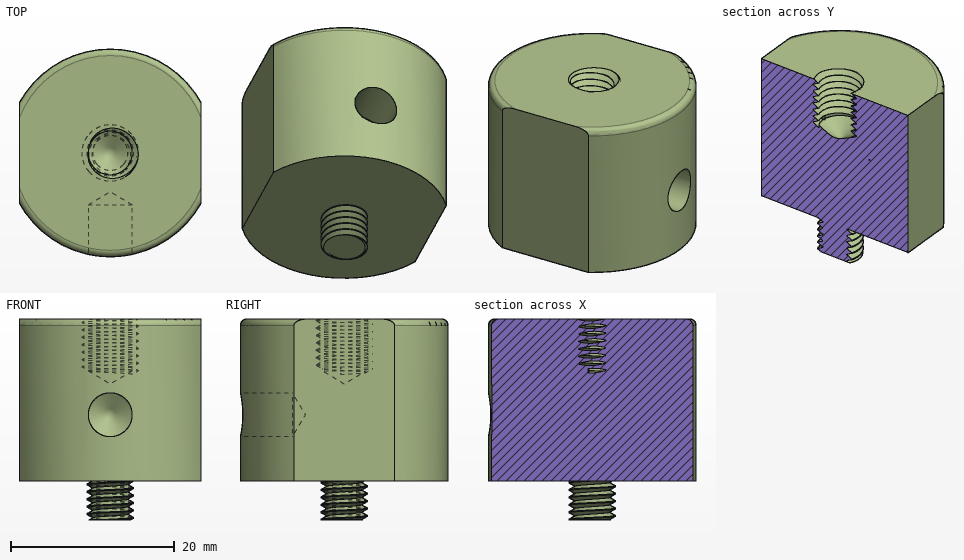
import cadquery as cq
import math

INCH = 25.4

body_diameter = INCH
body_height = 0.78 * INCH
flat_spacing = 7 / 8 * INCH
rim_radius = INCH / 32

pitch = INCH / 28
thread_height = pitch * math.sqrt(3) / 2

stud_diameter = 5.66
stud_length = 3 / 16 * INCH
stud_groove_width = 7 / 8 * pitch
stud_groove_angle = 165
stud_seam_angle = 90

hole_diameter = 5.36
hole_depth = 0.25 * INCH
drill_angle = 118
front_hole_z = 8.1
tapped_groove_width = 0.99 * pitch
tapped_groove_angle = -9

overlap = 0.1
groove_overlap = 0.005


def make_body():
    body = cq.Workplane("XY").circle(body_diameter / 2).extrude(body_height)
    body = body.faces(">Z").edges().fillet(rim_radius)
    flats = cq.Workplane("XY").rect(flat_spacing, 2 * body_diameter).extrude(body_height)
    return body.intersect(flats)


def make_drill(depth):
    """Drill with its mouth at the origin, pointing along -Z, with a conical tip."""
    radius = hole_diameter / 2
    tip_length = radius / math.tan(math.radians(drill_angle / 2))
    return (
        cq.Workplane("XZ")
        .moveTo(0, overlap)
        .lineTo(radius, overlap)
        .lineTo(radius, -depth)
        .lineTo(0, -depth - tip_length)
        .close()
        .revolve(360, (0, 0, 0), (0, 1, 0))
    )


def make_groove(surface_radius, opening_width, outward, length):
    """Right-hand helical V cutter, starting at +X on Z = 0 and rising along +Z.

    The V opens to opening_width on surface_radius and points away from the
    axis when outward is 1, towards it when outward is -1.
    """
    slope = 2 * thread_height / pitch
    apex_radius = surface_radius + outward * slope * opening_width / 2
    mouth_radius = surface_radius - outward * groove_overlap
    half_mouth = opening_width / 2 + groove_overlap / slope
    profile = (
        cq.Workplane("XZ")
        .moveTo(mouth_radius, -half_mouth)
        .lineTo(apex_radius, 0)
        .lineTo(mouth_radius, half_mouth)
        .close()
    )
    helix = cq.Workplane(obj=cq.Wire.makeHelix(pitch, length, surface_radius))
    return profile.sweep(helix, isFrenet=True)


def make_stud():
    stud = cq.Workplane("XY").circle(stud_diameter / 2).extrude(-stud_length)
    stud = stud.rotate((0, 0, 0), (0, 0, 1), stud_seam_angle)
    turns = math.ceil(stud_length / pitch) + 1
    groove = make_groove(stud_diameter / 2, stud_groove_width, -1, (turns + 1) * pitch)
    groove = groove.rotate((0, 0, 0), (0, 0, 1), stud_groove_angle)
    return stud.cut(groove.translate((0, 0, -turns * pitch)))


def make_tapped_hole():
    turns = math.floor(hole_depth / pitch)
    groove = make_groove(hole_diameter / 2, tapped_groove_width, 1, (turns + 1) * pitch)
    groove = groove.rotate((0, 0, 0), (0, 0, 1), tapped_groove_angle)
    groove = groove.translate((0, 0, -turns * pitch))
    return make_drill(hole_depth).union(groove).translate((0, 0, body_height))


def make_front_hole():
    drill = make_drill(hole_depth).rotate((0, 0, 0), (1, 0, 0), 90)
    return drill.translate((0, -body_diameter / 2, front_hole_z))


result = make_body().cut(make_front_hole()).cut(make_tapped_hole()).union(make_stud())